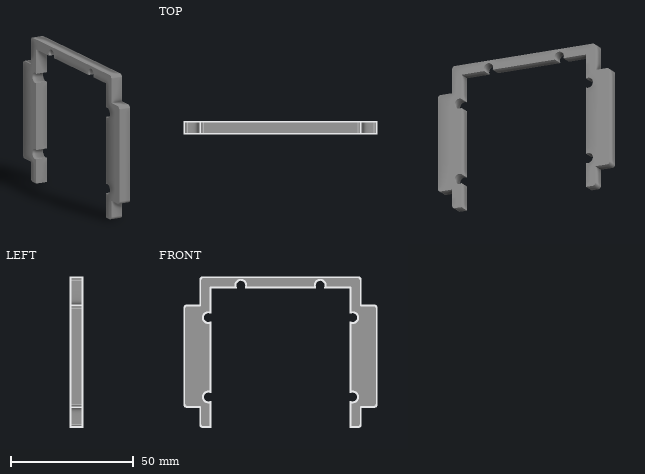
import cadquery as cq

overall_width = 78.4
overall_height = 61.1
thickness = 5.0

frame_width = 65.4
wall = 4.25
opening_width = frame_width - 2 * wall
opening_height = overall_height - wall

ear_height = 41.4
ear_drop = 11.5

corner_radius = 1.2

notch_radius = 2.15
notch_inset = 0.95
notch_spacing = 32.3
side_notch_drop = 16.5

top_z = overall_height / 2
bottom_z = -top_z
ear_center_z = top_z - ear_drop - ear_height / 2


def plate(width, height, center_z):
    """Rectangular plate in the XZ plane, centred on X and Y."""
    return cq.Workplane("XY").box(width, thickness, height).translate((0, 0, center_z))


def rounded_plate(width, height, center_z):
    """Plate with its four outer corners rounded."""
    return plate(width, height, center_z).edges("|Y").fillet(corner_radius)


def notch_centers():
    """X and Z of every notch: two along the top wall, two along each side wall."""
    top_notch_z = top_z - wall + notch_inset
    side_notch_x = opening_width / 2 + notch_inset
    upper_z = top_z - side_notch_drop
    centers = []
    for side in (-1, 1):
        centers.append((side * notch_spacing / 2, top_notch_z))
        centers.append((side * side_notch_x, upper_z))
        centers.append((side * side_notch_x, upper_z - notch_spacing))
    return centers


def notch_cutters():
    """Cylinders along Y through the full thickness."""
    return (
        cq.Workplane("XZ")
        .pushPoints(notch_centers())
        .circle(notch_radius)
        .extrude(thickness / 2, both=True)
    )


frame = rounded_plate(frame_width, overall_height, 0)
ears = rounded_plate(overall_width, ear_height, ear_center_z)
opening = plate(opening_width, opening_height, bottom_z + opening_height / 2)

result = frame.union(ears).cut(opening).cut(notch_cutters())